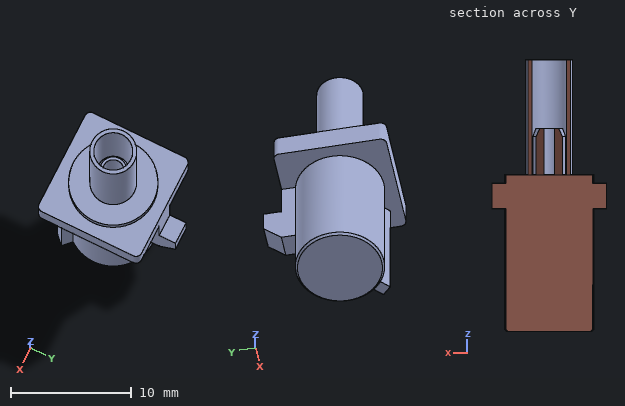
import cadquery as cq

total_height = 22.5
flange_bottom = 10.15
flange_top = 12.28
collar_top = 12.98

barrel_diameter = 7.4
bottom_chamfer = 0.18
flange_side = 9.5
flange_corner_radius = 0.52

latch_width = 1.98
latch_reach = 6.25
latch_stem_reach = flange_side / 2
latch_bottom = 3.92
latch_ramp_top = 5.38
latch_top = 7.3

key_width = 1.01
key_reach = 4.7
key_bottom = 0.25
key_angle = -45.0

ferrule_diameter = 3.9
ferrule_bore_diameter = 3.22

stem_radius = 1.35
stem_tip_radius = 1.1
stem_bore_radius = 0.85
stem_height = 3.82
stem_taper_height = 0.68


def make_barrel():
    """Round barrel that ends above the flange as a low collar."""
    barrel = cq.Workplane("XY").circle(barrel_diameter / 2).extrude(collar_top)
    return barrel.faces("<Z").chamfer(bottom_chamfer)


def make_flange():
    """Square plate with rounded corners around the barrel."""
    plate = cq.Workplane("XY").workplane(offset=flange_bottom).rect(flange_side, flange_side)
    return plate.extrude(flange_top - flange_bottom).edges("|Z").fillet(flange_corner_radius)


def make_latch():
    """Catch with a square upper shoulder and a lead-in ramp below."""
    profile = [
        (0, latch_bottom),
        (latch_stem_reach, latch_bottom),
        (latch_reach, latch_ramp_top),
        (latch_reach, latch_top),
        (latch_stem_reach, latch_top),
        (latch_stem_reach, flange_bottom),
        (0, flange_bottom),
    ]
    return cq.Workplane("YZ").polyline(profile).close().extrude(latch_width / 2, both=True)


def make_key():
    """Straight rib running down the barrel from the flange."""
    key_height = flange_bottom - key_bottom
    rib = cq.Workplane("XY").box(key_reach, key_width, key_height, centered=(False, True, False))
    return rib.translate((0, 0, key_bottom)).rotate((0, 0, 0), (0, 0, 1), key_angle)


def make_housing():
    return make_barrel().union(make_flange()).union(make_latch()).union(make_key())


def make_ferrule():
    """Open tube from the collar to the top."""
    foot = cq.Workplane("XY").workplane(offset=collar_top)
    ring = foot.circle(ferrule_diameter / 2).circle(ferrule_bore_diameter / 2)
    return ring.extrude(total_height - collar_top)


def make_contact_stem():
    """Tube with a tapered tip, centred in the ferrule."""
    shoulder_height = collar_top + stem_height - stem_taper_height
    tip_height = collar_top + stem_height
    profile = [
        (stem_bore_radius, collar_top),
        (stem_radius, collar_top),
        (stem_radius, shoulder_height),
        (stem_tip_radius, tip_height),
        (stem_bore_radius, tip_height),
    ]
    return cq.Workplane("XZ").polyline(profile).close().revolve(360, (0, 0, 0), (0, 1, 0))


housing = make_housing()
ferrule = make_ferrule()
contact_stem = make_contact_stem()

result = cq.Compound.makeCompound([housing.val(), ferrule.val(), contact_stem.val()])